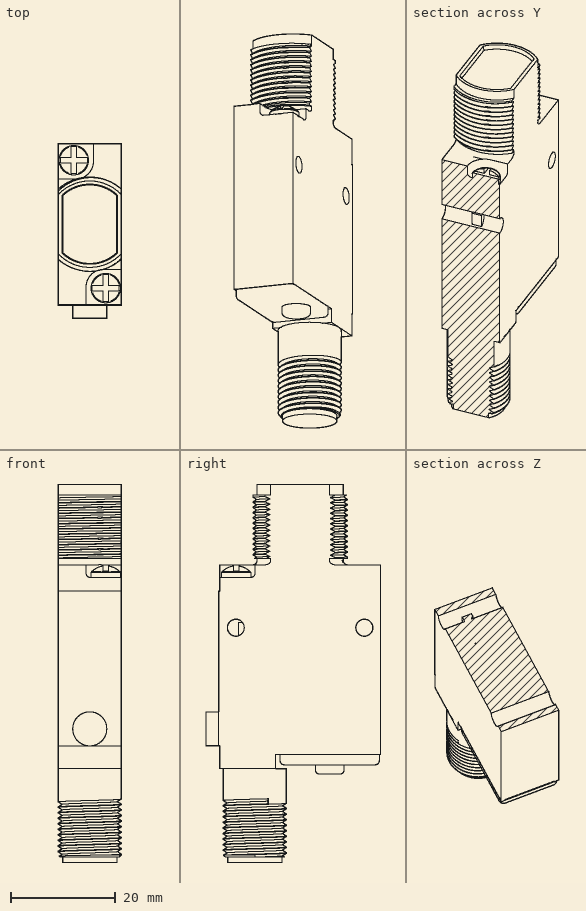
import cadquery as cq
import math


TOTAL_LENGTH = 33.32
TOTAL_HEIGHT = 72.12

WIDTH = 12.09
COVER_LENGTH = 30.7
BACK_Y = COVER_LENGTH / 2
COVER_FRONT_Y = -COVER_LENGTH / 2
HOUSING_LENGTH = 30.9
HOUSING_FRONT_Y = BACK_Y - HOUSING_LENGTH
HOUSING_HEIGHT = 29.54
CAP_HEIGHT = 5.0
CAP_TOP_Z = HOUSING_HEIGHT + CAP_HEIGHT

CROSS_HOLE_DIAMETER = 3.2
CROSS_HOLE_SPACING = 24.5
CROSS_HOLE_DROP = 7.0
CROSS_HOLE_Z = HOUSING_HEIGHT - CROSS_HOLE_DROP
POST_LENGTH = 1.15
POST_BEVEL = 0.5
POST_THICKNESS = 2.0
POST_TOP_ABOVE_AXIS = 1.0

BUTTON_DIAMETER = 6.5
BUTTON_END_Y = BACK_Y - TOTAL_LENGTH
BUTTON_Z = BUTTON_DIAMETER / 2

HEAD_HEIGHT = 15.32
HEAD_TOP_Z = CAP_TOP_Z + HEAD_HEIGHT
HEAD_THREAD_RADIUS = 9.0
HEAD_ROOT_RADIUS = 8.35
HEAD_CORE_RADIUS = 8.25
HEAD_THREAD_PITCH = 1.0
HEAD_COLLAR_HEIGHT = 2.0
HEAD_NECK_HEIGHT = 1.2
NECK_FILLET = 0.8
WINDOW_WIDTH = 10.6
WINDOW_RADIUS = 7.65
WINDOW_DEPTH = 0.9
WINDOW_TAPER = 10

GROOVE_MOUTH_SHARE = 0.9

POCKET_SIZE = 6.75
POCKET_DEPTH = 2.4
POCKET_CORNER_RADIUS = 3.4
POCKET_FLOOR_FILLET = 0.8
SCREW_X = -3.05
SCREW_Y = 12.2
SCREW_RADIUS = 2.8
SCREW_RIM_HEIGHT = 0.9
SCREW_RIM_BEVEL_HEIGHT = 0.25
SCREW_DOME_RADIUS = 2.65
SCREW_DOME_HEIGHT = 1.1
SCREW_SLOT_WIDTH = 1.1
SCREW_SLOT_LENGTH = 5.15

BRACKET_THIN = 1.65
BRACKET_THICK = 4.35
BRACKET_STEP_Y = -4.65
PLATE_WIDTH = 12.0
PLATE_BACK_INSET = 0.2
PLATE_BACK_Y = BACK_Y - PLATE_BACK_INSET
PLATE_LENGTH = 19.0
PLATE_THICKNESS = 2.0
PLATE_CORNER_RADIUS = 1.0
PLATE_EDGE_FILLET = 0.9
KNOB_X = -2.9
KNOB_Y = 5.65
KNOB_RADIUS = 2.75
KNOB_HEIGHT = 1.75
KNOB_FILLET = 0.8

STEM_Y = -8.65
STEM_RADIUS = 6.03
STEM_ROOT_RADIUS = 5.3
STEM_THREAD_PITCH = 25.4 / 24
STEM_TOP_Z = -BRACKET_THICK
STEM_BOTTOM_Z = HEAD_TOP_Z - TOTAL_HEIGHT
STEM_PLAIN_LENGTH = 6.2
STEM_TIP_RADIUS = 5.2
STEM_TIP_HEIGHT = 1.05
STEM_CHAMFER = 0.4


def box(x_range, y_range, z_range):
    """Box between the given limits on each axis."""
    sizes = [high - low for low, high in (x_range, y_range, z_range)]
    corner = (x_range[0], y_range[0], z_range[0])
    return cq.Workplane("XY").box(*sizes, centered=False).translate(corner)


def full_width_box(y_range, z_range):
    return box((-WIDTH / 2, WIDTH / 2), y_range, z_range)


def rod(x, y, z_bottom, radius, height):
    """Upright cylinder standing on its bottom centre point."""
    return cq.Workplane("XY", origin=(x, y, z_bottom)).circle(radius).extrude(height)


def thread_groove(root_radius, crest_radius, pitch, length):
    """Right-hand V groove around Z, starting at Z = 0."""
    overshoot = 0.1
    depth = crest_radius - root_radius
    half_mouth = GROOVE_MOUTH_SHARE * pitch / 2 * (depth + overshoot) / depth
    helix = cq.Wire.makeHelix(pitch, length, root_radius)
    profile = cq.Workplane("XZ").polyline(
        [
            (root_radius, 0),
            (crest_radius + overshoot, half_mouth),
            (crest_radius + overshoot, -half_mouth),
        ]
    ).close()
    return profile.sweep(cq.Workplane(helix), isFrenet=True)


def make_housing():
    housing = full_width_box((HOUSING_FRONT_Y, BACK_Y), (0, HOUSING_HEIGHT))
    button = (
        cq.Workplane("XZ", origin=(0, HOUSING_FRONT_Y, BUTTON_Z))
        .circle(BUTTON_DIAMETER / 2)
        .extrude(HOUSING_FRONT_Y - BUTTON_END_Y)
    )
    cross_holes = (
        cq.Workplane("YZ")
        .pushPoints([(side * CROSS_HOLE_SPACING / 2, CROSS_HOLE_Z) for side in (-1, 1)])
        .circle(CROSS_HOLE_DIAMETER / 2)
        .extrude(WIDTH, both=True)
    )
    return housing.union(button).cut(cross_holes.cut(make_post()))


def make_post():
    """Bevelled post standing against the rear wall of the front cross hole."""
    wall_y = (CROSS_HOLE_DIAMETER - CROSS_HOLE_SPACING) / 2
    post_top_z = CROSS_HOLE_Z + POST_TOP_ABOVE_AXIS
    tip_y = wall_y - POST_LENGTH
    return (
        cq.Workplane("XY", origin=(0, 0, post_top_z))
        .moveTo(POST_THICKNESS, wall_y)
        .lineTo(POST_BEVEL, wall_y)
        .lineTo(0, wall_y - POST_BEVEL)
        .lineTo(0, tip_y)
        .lineTo(POST_THICKNESS, tip_y)
        .close()
        .extrude(-CROSS_HOLE_DIAMETER)
    )


def make_pocket():
    """Space over the screw in the cap corner at -X, +Y."""
    inner_x = POCKET_SIZE - WIDTH / 2
    inner_y = BACK_Y - POCKET_SIZE
    floor_z = CAP_TOP_Z - POCKET_DEPTH
    reach = 2 * POCKET_SIZE
    block = box((inner_x - reach, inner_x), (inner_y, inner_y + reach), (floor_z, HEAD_TOP_Z))
    return (
        block.edges("|Z and >X and <Y")
        .fillet(POCKET_CORNER_RADIUS)
        .faces("<Z")
        .edges()
        .fillet(POCKET_FLOOR_FILLET)
    )


def make_screw():
    """Domed cross-slot screw head in the cap corner at -X, +Y."""
    seat_z = CAP_TOP_Z - POCKET_DEPTH
    rim_z = seat_z + SCREW_RIM_HEIGHT
    dome_z = rim_z + SCREW_RIM_BEVEL_HEIGHT
    top_z = dome_z + SCREW_DOME_HEIGHT
    sphere_radius = (SCREW_DOME_RADIUS**2 + SCREW_DOME_HEIGHT**2) / (2 * SCREW_DOME_HEIGHT)
    half_angle = math.asin(SCREW_DOME_RADIUS / sphere_radius) / 2
    dome_mid = (
        sphere_radius * math.sin(half_angle),
        top_z - sphere_radius * (1 - math.cos(half_angle)),
    )
    head = (
        cq.Workplane("XZ")
        .moveTo(0, seat_z)
        .lineTo(SCREW_RADIUS, seat_z)
        .lineTo(SCREW_RADIUS, rim_z)
        .lineTo(SCREW_DOME_RADIUS, dome_z)
        .threePointArc(dome_mid, (0, top_z))
        .close()
        .revolve(360, (0, 0, 0), (0, 1, 0))
    )
    for slot_size in ((SCREW_SLOT_LENGTH, SCREW_SLOT_WIDTH), (SCREW_SLOT_WIDTH, SCREW_SLOT_LENGTH)):
        slot = cq.Workplane("XY", origin=(0, 0, dome_z)).rect(*slot_size).extrude(SCREW_DOME_HEIGHT)
        head = head.cut(slot)
    return head.translate((SCREW_X, SCREW_Y, 0))


def make_head():
    """Threaded round head, flattened on both X sides, with a recessed window on top."""
    neck_top_z = CAP_TOP_Z + HEAD_NECK_HEIGHT
    thread_top_z = HEAD_TOP_Z - HEAD_COLLAR_HEIGHT
    thread_length = thread_top_z - neck_top_z
    flare_radius = HEAD_CORE_RADIUS + NECK_FILLET
    flare_mid_offset = NECK_FILLET * (1 - math.sqrt(0.5))
    head = (
        cq.Workplane("XZ")
        .moveTo(0, CAP_TOP_Z)
        .lineTo(flare_radius, CAP_TOP_Z)
        .threePointArc(
            (HEAD_CORE_RADIUS + flare_mid_offset, CAP_TOP_Z + flare_mid_offset),
            (HEAD_CORE_RADIUS, CAP_TOP_Z + NECK_FILLET),
        )
        .lineTo(HEAD_CORE_RADIUS, neck_top_z)
        .lineTo(HEAD_THREAD_RADIUS, neck_top_z)
        .lineTo(HEAD_THREAD_RADIUS, thread_top_z)
        .lineTo(HEAD_CORE_RADIUS, thread_top_z)
        .lineTo(HEAD_CORE_RADIUS, HEAD_TOP_Z)
        .lineTo(0, HEAD_TOP_Z)
        .close()
        .revolve(360, (0, 0, 0), (0, 1, 0))
    )
    groove = thread_groove(HEAD_ROOT_RADIUS, HEAD_THREAD_RADIUS, HEAD_THREAD_PITCH, thread_length)
    head = head.cut(groove.translate((0, 0, neck_top_z)))
    head = head.rotate((0, 0, 0), (0, 0, 1), 180)
    flats = full_width_box((-HEAD_THREAD_RADIUS, HEAD_THREAD_RADIUS), (CAP_TOP_Z, HEAD_TOP_Z))
    return head.intersect(flats).cut(make_window())


def make_window():
    half_width = WINDOW_WIDTH / 2
    half_flat = math.sqrt(WINDOW_RADIUS**2 - half_width**2)
    return (
        cq.Workplane("XY", origin=(0, 0, HEAD_TOP_Z))
        .moveTo(half_width, -half_flat)
        .lineTo(half_width, half_flat)
        .threePointArc((0, WINDOW_RADIUS), (-half_width, half_flat))
        .lineTo(-half_width, -half_flat)
        .threePointArc((0, -WINDOW_RADIUS), (half_width, -half_flat))
        .close()
        .extrude(-WINDOW_DEPTH, taper=WINDOW_TAPER)
    )


def make_cap():
    """Cap with its threaded head and two screws placed half a turn apart."""
    cap = full_width_box((COVER_FRONT_Y, BACK_Y), (HOUSING_HEIGHT, CAP_TOP_Z)).union(make_head())
    axis = ((0, 0, 0), (0, 0, 1))
    for angle in (0, 180):
        cap = cap.cut(make_pocket().rotate(*axis, angle))
        cap = cap.union(make_screw().rotate(*axis, angle))
    return cap


def make_bracket():
    """Base bracket with the sliding plate and its round knob."""
    thin_part = full_width_box((COVER_FRONT_Y, BACK_Y), (-BRACKET_THIN, 0))
    thick_part = full_width_box((COVER_FRONT_Y, BRACKET_STEP_Y), (-BRACKET_THICK, 0))
    plate_bottom_z = -BRACKET_THIN - PLATE_THICKNESS
    plate = (
        box(
            (-PLATE_WIDTH / 2, PLATE_WIDTH / 2),
            (PLATE_BACK_Y - PLATE_LENGTH, PLATE_BACK_Y),
            (plate_bottom_z, -BRACKET_THIN),
        )
        .edges("|Z")
        .fillet(PLATE_CORNER_RADIUS)
        .faces("<Z")
        .edges()
        .fillet(PLATE_EDGE_FILLET)
    )
    knob = rod(KNOB_X, KNOB_Y, plate_bottom_z - KNOB_HEIGHT, KNOB_RADIUS, KNOB_HEIGHT)
    knob = knob.faces("<Z").edges().fillet(KNOB_FILLET)
    return thin_part.union(thick_part).union(plate).union(knob)


def make_stem():
    """Connector stem: plain collar, threaded stretch and a narrower tip."""
    tip_top_z = STEM_BOTTOM_Z + STEM_TIP_HEIGHT
    barrel = rod(0, STEM_Y, tip_top_z, STEM_RADIUS, STEM_TOP_Z - tip_top_z)
    barrel = barrel.faces("<Z").edges().chamfer(STEM_CHAMFER)
    thread_length = STEM_TOP_Z - STEM_PLAIN_LENGTH - tip_top_z
    groove = thread_groove(STEM_ROOT_RADIUS, STEM_RADIUS, STEM_THREAD_PITCH, thread_length)
    tip = rod(0, STEM_Y, STEM_BOTTOM_Z, STEM_TIP_RADIUS, 2 * STEM_TIP_HEIGHT)
    return barrel.cut(groove.translate((0, STEM_Y, tip_top_z))).union(tip)


result = make_housing().union(make_cap()).union(make_bracket()).union(make_stem())